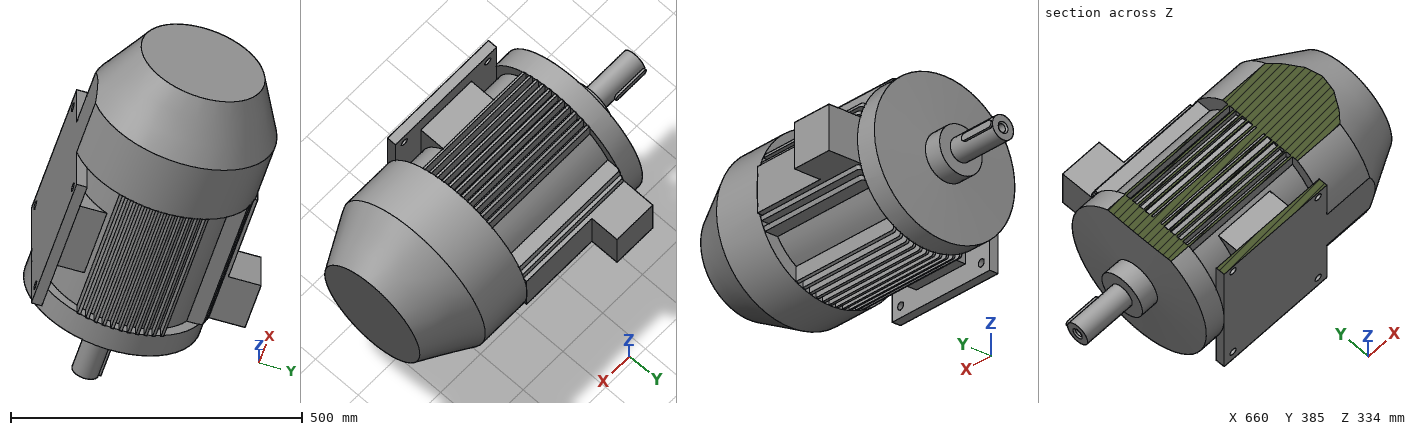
import cadquery as cq
import math


shaft_diameter = 48.0
shaft_length = 110.0
key_width = 14.0
key_length = 77.0
key_top = 27.5
key_base = 18.0
hole_mouth_diameter = 22.0
hole_diameter = 16.0
hole_countersink_depth = 3.0
hole_depth = 36.0
drill_point_angle = 120.0

bearing_diameter = 96.5
bearing_end_x = 147.0
shield_diameter = 320.0
shield_start_x = 152.0

frame_start_x = 196.0
frame_length = 254.0
frame_end_x = frame_start_x + frame_length
core_radius = 141.0
fin_circle_radius = 166.0
fin_thickness = 5.0
fin_pitch = 15.0
fins_each_way = 5
box_fin_thickness = 8.0
box_fin_offsets = (52.5, 70.5)
fin_corner_radius = 5.0

cover_radius = 167.0
cover_cone_x = 555.0
cover_end_x = 660.0
cover_end_radius = 111.5

foot_plane_y = -160.0
foot_thickness = 19.0
foot_height = 300.0
foot_hole_diameter = 15.0
foot_hole_spacing_x = 210.0
foot_hole_spacing_z = 254.0
pedestal_length = 127.0
pedestal_height = 225.0

box_length = 90.0
box_height = 90.0
box_top_y = 225.0
box_pad_y = fin_circle_radius

frame_middle_x = frame_start_x + frame_length / 2
foot_inner_y = foot_plane_y + foot_thickness


def block(x_range, y_range, z_range):
    """Rectangular block given by its limits along each axis."""
    sizes = [high - low for low, high in (x_range, y_range, z_range)]
    corner = (x_range[0], y_range[0], z_range[0])
    return cq.Workplane("XY").box(*sizes, centered=False).translate(corner)


def centred(middle, size):
    """Limits of a length placed symmetrically about a middle."""
    return (middle - size / 2, middle + size / 2)


def revolved(profile):
    """Solid of revolution about the motor axis from (x, radius) points."""
    return cq.Workplane("XZ").polyline(profile).close().revolve(360, (0, 0, 0), (1, 0, 0))


def make_turned_body():
    """Shaft, end shield, frame core and fan cover."""
    shaft_radius = shaft_diameter / 2
    bearing_radius = bearing_diameter / 2
    shield_radius = shield_diameter / 2
    return revolved([
        (0, 0),
        (0, shaft_radius),
        (shaft_length, shaft_radius),
        (shaft_length, bearing_radius),
        (bearing_end_x, bearing_radius),
        (shield_start_x, shield_radius),
        (frame_start_x, shield_radius),
        (frame_start_x, core_radius),
        (frame_end_x, core_radius),
        (frame_end_x, cover_radius),
        (cover_cone_x, cover_radius),
        (cover_end_x, cover_end_radius),
        (cover_end_x, 0),
    ])


def make_fin_bank(offsets, thickness):
    """Parallel upright fins on the +Z side of the frame, with tops following the fin circle."""
    bank = cq.Workplane("XY")
    for offset in offsets:
        fin = block(
            (frame_start_x, frame_end_x),
            centred(offset, thickness),
            (0, fin_circle_radius),
        )
        bank = bank.add(fin)
    return bank.combine().intersect(make_fin_envelope())


def make_fin_envelope():
    """Cylinder around the fin tops, rounded at its front edge."""
    return (
        cq.Workplane("YZ", origin=(frame_start_x, 0, 0))
        .circle(fin_circle_radius)
        .extrude(frame_length)
        .edges("<X")
        .fillet(fin_corner_radius)
    )


def make_foot():
    """Foot plate and the pedestal that joins it to the frame core."""
    plate = block(
        (frame_start_x, frame_end_x),
        (foot_plane_y, foot_inner_y),
        centred(0, foot_height),
    )
    pedestal = block(
        centred(frame_middle_x, pedestal_length),
        (foot_inner_y, 0),
        centred(0, pedestal_height),
    )
    return plate.union(pedestal)


def make_foot_holes():
    return (
        cq.Workplane("XZ", origin=(frame_middle_x, foot_inner_y, 0))
        .rarray(foot_hole_spacing_x, foot_hole_spacing_z, 2, 2)
        .circle(foot_hole_diameter / 2)
        .extrude(foot_thickness)
    )


def make_terminal_box():
    return block(
        (frame_start_x, frame_start_x + box_length),
        (0, box_top_y),
        centred(0, box_height),
    )


def make_box_pad():
    """Pad along the whole frame, as wide as the terminal box that stands on it."""
    return block(
        (frame_start_x, frame_end_x),
        (0, box_pad_y),
        centred(0, box_height),
    )


def make_key():
    """Shaft key with rounded ends."""
    return (
        cq.Workplane("XZ", origin=(key_length / 2, key_base, 0))
        .slot2D(key_length, key_width)
        .extrude(key_base - key_top)
    )


def make_centre_hole():
    """Countersunk hole with a drill point in the shaft end."""
    radius = hole_diameter / 2
    point_depth = radius / math.tan(math.radians(drill_point_angle / 2))
    return revolved([
        (0, 0),
        (0, hole_mouth_diameter / 2),
        (hole_countersink_depth, radius),
        (hole_depth, radius),
        (hole_depth + point_depth, 0),
    ])


def make_foot_clearance():
    """Space below the mounting plane, which trims the fan cover flat."""
    return block(
        (frame_end_x, cover_end_x),
        (-cover_radius, foot_plane_y),
        (-cover_radius, cover_radius),
    )


main_offsets = [index * fin_pitch for index in range(-fins_each_way, fins_each_way + 1)]
box_side_offsets = [side * offset for side in (-1, 1) for offset in box_fin_offsets]
axis_start = (0, 0, 0)
axis_end = (1, 0, 0)

main_bank = make_fin_bank(main_offsets, fin_thickness)
box_side_bank = make_fin_bank(box_side_offsets, box_fin_thickness)

result = (
    make_turned_body()
    .union(main_bank)
    .union(main_bank.rotate(axis_start, axis_end, 180))
    .union(box_side_bank.rotate(axis_start, axis_end, -90))
    .union(make_terminal_box())
    .union(make_box_pad())
    .union(make_foot())
    .union(make_key())
    .cut(make_foot_holes())
    .cut(make_centre_hole())
    .cut(make_foot_clearance())
)